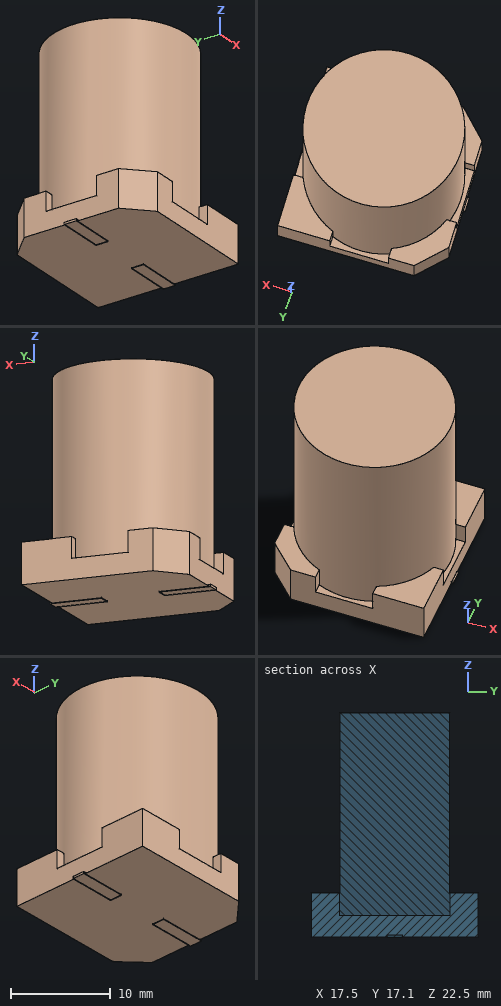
import cadquery as cq

TOTAL_HEIGHT = 22.55

BASE_SIDE = 17.1
BASE_TOP = 4.51
CORNER_BEVEL = 2.8
STANDOFF = 0.07

CAN_DIAMETER = 16.25
SEAT_DEPTH = 2.25
SEAT_FLOOR = BASE_TOP - SEAT_DEPTH

GAP_WIDTH = 6.14

LEAD_SPAN = 17.5
LEAD_SEPARATION = 6.25
LEAD_LENGTH = (LEAD_SPAN - LEAD_SEPARATION) / 2
LEAD_CENTER_X = (LEAD_SPAN + LEAD_SEPARATION) / 4
LEAD_WIDTH = 1.5
LEAD_THICKNESS = 0.25


def make_can():
    """Plain cylinder standing on the floor of the base's seat."""
    return (
        cq.Workplane("XY", origin=(0, 0, SEAT_FLOOR))
        .circle(CAN_DIAMETER / 2)
        .extrude(TOTAL_HEIGHT - SEAT_FLOOR)
    )


def make_lead(side):
    """Flat strip; side is -1 for the -X lead and +1 for the +X lead."""
    return cq.Workplane("XY", origin=(side * LEAD_CENTER_X, 0, 0)).box(
        LEAD_LENGTH, LEAD_WIDTH, LEAD_THICKNESS, centered=(True, True, False)
    )


def make_wall_gaps():
    """Cross-shaped cutter that opens the wall on all four sides."""
    plane = cq.Workplane("XY", origin=(0, 0, SEAT_FLOOR))
    along_x = plane.rect(BASE_SIDE, GAP_WIDTH).extrude(SEAT_DEPTH)
    along_y = plane.rect(GAP_WIDTH, BASE_SIDE).extrude(SEAT_DEPTH)
    return along_x.union(along_y)


def make_base(can, leads):
    """Bevelled block with the wall gaps, the can seat and the lead recesses."""
    base = (
        cq.Workplane("XY", origin=(0, 0, STANDOFF))
        .rect(BASE_SIDE, BASE_SIDE)
        .extrude(BASE_TOP - STANDOFF)
        .edges("|Z and <X")
        .chamfer(CORNER_BEVEL)
    )
    base = base.cut(make_wall_gaps()).cut(can)
    for lead in leads:
        base = base.cut(lead)
    return base


can = make_can()
leads = [make_lead(side) for side in (-1, 1)]
base = make_base(can, leads)

result = cq.Compound.makeCompound([base.solids().val(), can.val(), *[lead.val() for lead in leads]])